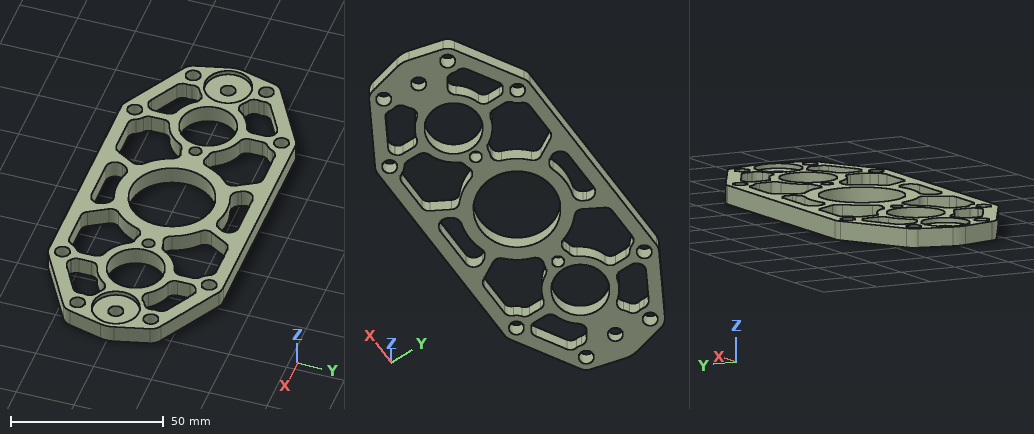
import cadquery as cq
import math

LENGTH = 133.3
WIDTH = 60.4
THICKNESS = 6.4

RIM = 4.8
WEB = 3.2
BRIDGE_WIDTH = 8.3
THIN_WALL = 1.6

CENTER_BORE = 28.5
SIDE_BORE = 19.0
SCREW_HOLE = 4.9
SMALL_HOLE = 4.0
RECESS_DIAMETER = 15.9
RECESS_DEPTH = 1.6

SIDE_X = 36.8
SMALL_HOLE_X = 23.9
END_HOLE_X = 58.8
FRAME_SLOPE = 30.0
SPOKE_ANGLE = 60.0

POCKET_FILLET = 2.8
SLOT_FILLET = 3.2

END_RADIUS = RECESS_DIAMETER / 2 + THIN_WALL
RECESS_X = LENGTH / 2 - END_RADIUS
CORNER_Y = WIDTH / 2 - RIM
END_HOLE_Y = CORNER_Y - (END_HOLE_X - SIDE_X) * math.tan(math.radians(FRAME_SLOPE))
CENTER_RING = CENTER_BORE / 2 + RIM
SIDE_RING = SIDE_BORE / 2 + WEB


def four_way(x, y):
    """The point mirrored into all four quadrants."""
    return [(sx * x, sy * y) for sx in (-1, 1) for sy in (-1, 1)]


def both_ends(x):
    """The point on the X axis and its mirror image."""
    return [(-x, 0), (x, 0)]


def prism(points):
    return cq.Workplane("XY").polyline(points).close().extrude(THICKNESS)


def cylinder(x, y, radius):
    return cq.Workplane("XY").center(x, y).circle(radius).extrude(THICKNESS)


def holes(points, diameter):
    return cq.Workplane("XY").pushPoints(points).circle(diameter / 2).extrude(THICKNESS)


def tangent_points(first, second):
    """Ends of the outer tangent of two (x, y, radius) circles, on the left from first to second."""
    x1, y1, r1 = first
    x2, y2, r2 = second
    distance = math.hypot(x2 - x1, y2 - y1)
    angle = math.atan2(y2 - y1, x2 - x1) + math.acos((r1 - r2) / distance)
    nx, ny = math.cos(angle), math.sin(angle)
    return [(x1 + r1 * nx, y1 + r1 * ny), (x2 + r2 * nx, y2 + r2 * ny)]


def plate():
    """Convex outline wrapped around the corner circles, clockwise from the left tip."""
    circles = [
        (-RECESS_X, 0, END_RADIUS),
        (-END_HOLE_X, END_HOLE_Y, RIM),
        (-SIDE_X, CORNER_Y, RIM),
        (SIDE_X, CORNER_Y, RIM),
        (END_HOLE_X, END_HOLE_Y, RIM),
        (RECESS_X, 0, END_RADIUS),
        (END_HOLE_X, -END_HOLE_Y, RIM),
        (SIDE_X, -CORNER_Y, RIM),
        (-SIDE_X, -CORNER_Y, RIM),
        (-END_HOLE_X, -END_HOLE_Y, RIM),
    ]
    sides = [tangent_points(c, circles[(i + 1) % len(circles)]) for i, c in enumerate(circles)]
    outline = cq.Workplane("XY").moveTo(*sides[0][0])
    for i, (_, end) in enumerate(sides):
        following = (i + 1) % len(circles)
        x, y, radius = circles[following]
        next_start = sides[following][0]
        middle_angle = math.atan2((end[1] + next_start[1]) / 2 - y, (end[0] + next_start[0]) / 2 - x)
        middle = (x + radius * math.cos(middle_angle), y + radius * math.sin(middle_angle))
        outline = outline.lineTo(*end).threePointArc(middle, next_start)
    return outline.close().extrude(THICKNESS)


def spoke_edge_x(y, side):
    """X of the left spoke's edge at height y; side is -1 for its outer edge, 1 for its inner edge."""
    angle = math.radians(SPOKE_ANGLE)
    return -y / math.tan(angle) + side * WEB / 2 / math.sin(angle)


def end_pocket():
    """Pocket in the left rear, between the slanted rim, the strap, the side ring and the recess."""
    right = -SIDE_X - WEB / 2
    slope = math.tan(math.radians(FRAME_SLOPE))
    top_right = CORNER_Y - WEB / 2 * slope
    pocket = prism([(-END_HOLE_X, 0), (right, 0), (right, top_right), (-END_HOLE_X, END_HOLE_Y)])
    pocket = pocket.cut(cylinder(-RECESS_X, 0, END_RADIUS))
    pocket = pocket.cut(cylinder(-END_HOLE_X, END_HOLE_Y, RIM))
    pocket = pocket.cut(cylinder(-SIDE_X, CORNER_Y, RIM))
    pocket = pocket.cut(cylinder(-SIDE_X, 0, SIDE_RING))
    return pocket.edges("|Z").fillet(POCKET_FILLET)


def middle_pocket():
    """Pocket in the left rear, between the strap, the spoke and the two rings."""
    left = -SIDE_X + WEB / 2
    bottom = BRIDGE_WIDTH / 2
    pocket = prism([
        (left, bottom),
        (spoke_edge_x(bottom, -1), bottom),
        (spoke_edge_x(CORNER_Y, -1), CORNER_Y),
        (left, CORNER_Y),
    ])
    pocket = pocket.cut(cylinder(0, 0, CENTER_RING))
    pocket = pocket.cut(cylinder(-SIDE_X, 0, SIDE_RING))
    pocket = pocket.cut(cylinder(-SMALL_HOLE_X, 0, RIM))
    pocket = pocket.cut(cylinder(-SIDE_X, CORNER_Y, RIM))
    return pocket.edges("|Z").fillet(POCKET_FILLET)


def center_slot():
    """Slot at the rear, between the rim, the centre ring and the two spokes."""
    top = spoke_edge_x(CORNER_Y, 1)
    bottom_y = CENTER_BORE / 2
    bottom = spoke_edge_x(bottom_y, 1)
    slot = prism([(-bottom, bottom_y), (bottom, bottom_y), (top, CORNER_Y), (-top, CORNER_Y)])
    slot = slot.cut(cylinder(0, 0, CENTER_RING))
    return slot.edges("|Z").fillet(SLOT_FILLET)


result = plate()

for pocket in (end_pocket(), middle_pocket()):
    pair = pocket.union(pocket.mirror("YZ"))
    result = result.cut(pair).cut(pair.mirror("XZ"))
rear_slot = center_slot()
result = result.cut(rear_slot).cut(rear_slot.mirror("XZ"))

hole_groups = [
    ([(0, 0)], CENTER_BORE),
    (both_ends(SIDE_X), SIDE_BORE),
    (both_ends(SMALL_HOLE_X), SMALL_HOLE),
    (both_ends(RECESS_X), SCREW_HOLE),
    (four_way(SIDE_X, CORNER_Y), SCREW_HOLE),
    (four_way(END_HOLE_X, END_HOLE_Y), SCREW_HOLE),
]
for points, diameter in hole_groups:
    result = result.cut(holes(points, diameter))

recesses = holes(both_ends(RECESS_X), RECESS_DIAMETER)
result = result.cut(recesses.translate((0, 0, THICKNESS - RECESS_DEPTH)))